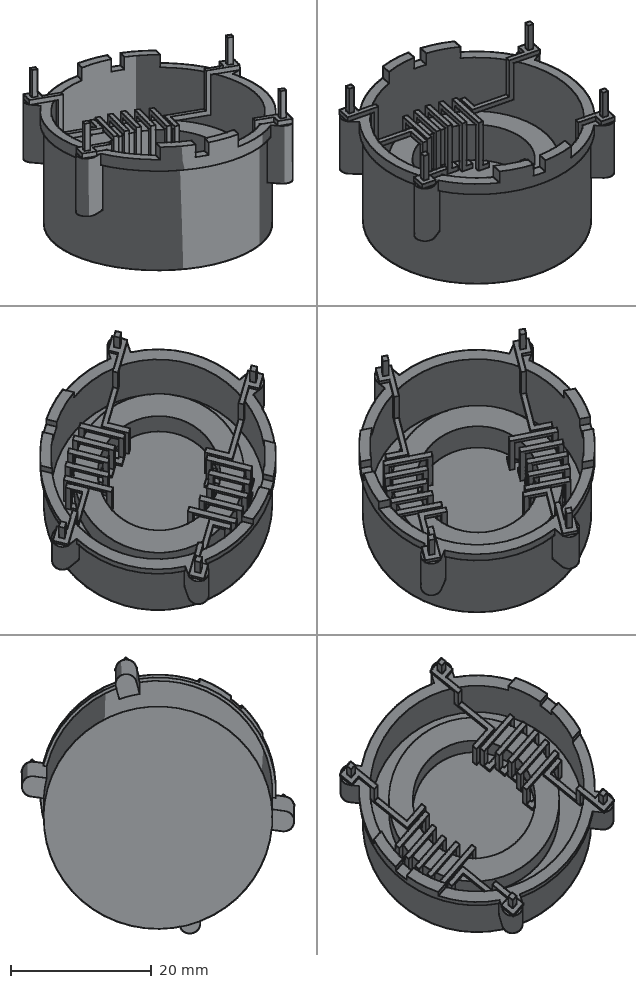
import cadquery as cq
import math

wall_radius = 16.25
rim_radius = 16.75
cavity_radius = 15.2
housing_height = 17.5
rim_height = 1.8
floor_thickness = 3.75

castellation_top = 19.45
castellation_inner_y = 1.0
castellation_outer_y = 6.0

post_x = 10.0
post_y = 15.0
post_radius = 1.5
post_bottom = 8.5

wire = 0.75
coil_top = 12.0
turn_pitch = 2.07
turn_outer_x = [12.65, 13.0, 13.2, 13.0, 12.65]
turn_inner_x = [6.05, 6.95, 7.25, 6.7, 5.6]
first_lead_inner_x = 5.6
last_lead_outer_x = 12.1
drop_inner_y = 10.95

core_outer_radius = 12.1
core_inner_radius = 8.7
core_center_y = 0.55
core_bottom = floor_thickness + wire
core_height = 6.1

pad_side = 2.25
pin_side = 0.85
pin_top = 22.5


def cylinder(radius, bottom, top):
    return cq.Workplane("XY").workplane(offset=bottom).circle(radius).extrude(top - bottom)


def square_bar(x, y, side, bottom, top):
    bar = cq.Workplane("XY").workplane(offset=bottom).rect(side, side).extrude(top - bottom)
    return bar.translate((x, y, 0))


def make_post(side_x, side_y):
    """Round post joined to the cup by a web of the same width that runs toward the cup axis."""
    center_distance = math.hypot(post_x, post_y)
    angle = math.degrees(math.atan2(side_y * post_y, side_x * post_x))
    height = housing_height - post_bottom
    web = cq.Workplane("XY").box(center_distance, 2 * post_radius, height, centered=(False, True, False))
    round_end = cq.Workplane("XY").center(center_distance, 0).circle(post_radius).extrude(height)
    return web.union(round_end).rotate((0, 0, 0), (0, 0, 1), angle).translate((0, 0, post_bottom))


def make_castellations():
    """Four rim-wide teeth, two on each X side, with flanks parallel to X."""
    ring = cylinder(rim_radius, housing_height, castellation_top)
    tooth_width = castellation_outer_y - castellation_inner_y
    tooth_y = (castellation_outer_y + castellation_inner_y) / 2
    height = castellation_top - housing_height
    bands = (
        cq.Workplane("XY")
        .workplane(offset=housing_height)
        .pushPoints([(0, tooth_y), (0, -tooth_y)])
        .rect(2 * rim_radius, tooth_width)
        .extrude(height)
    )
    return ring.intersect(bands)


def make_housing():
    body = cylinder(wall_radius, 0, housing_height)
    body = body.union(cylinder(rim_radius, housing_height - rim_height, housing_height))
    for side_x in (-1, 1):
        for side_y in (-1, 1):
            body = body.union(make_post(side_x, side_y))
    body = body.union(make_castellations())
    return body.cut(cylinder(cavity_radius, floor_thickness, castellation_top))


def make_core():
    core_top = core_bottom + core_height
    ring = cylinder(core_outer_radius, core_bottom, core_top)
    ring = ring.cut(cylinder(core_inner_radius, core_bottom, core_top))
    return ring.translate((0, core_center_y, 0))


def wire_path():
    """Centerline corners of the +X winding, from the +Y terminal to the -Y terminal."""
    half_wire = wire / 2
    low = floor_thickness + half_wire
    high = coil_top - half_wire
    strip = housing_height + half_wire
    lead_x = post_x - pad_side / 2 + half_wire
    drop_y = drop_inner_y + half_wire
    turn_count = len(turn_outer_x)
    lead_y = turn_count * turn_pitch / 2
    first_x = first_lead_inner_x + half_wire
    last_x = last_lead_outer_x - half_wire

    points = [
        (lead_x, post_y, strip),
        (lead_x, drop_y, strip),
        (lead_x, drop_y, high),
        (lead_x, lead_y, high),
        (first_x, lead_y, high),
        (first_x, lead_y, low),
    ]
    for turn in range(turn_count):
        outer_x = turn_outer_x[turn] - half_wire
        inner_x = turn_inner_x[turn] + half_wire
        turn_y = lead_y - (turn + 0.5) * turn_pitch
        arrive_y = turn_y + turn_pitch / 2
        leave_y = turn_y - turn_pitch / 2
        points += [
            (outer_x, arrive_y, low),
            (outer_x, turn_y, low),
            (outer_x, turn_y, high),
            (inner_x, turn_y, high),
            (inner_x, turn_y, low),
            (inner_x, leave_y, low),
        ]
    points += [
        (last_x, -lead_y, low),
        (last_x, -lead_y, high),
        (lead_x, -lead_y, high),
        (lead_x, -drop_y, high),
        (lead_x, -drop_y, strip),
        (lead_x, -post_y, strip),
    ]
    return points


def wire_segment(start, end):
    """Straight square wire between two corners, reaching half a wire past each to fill the corner."""
    sizes = [abs(b - a) + wire for a, b in zip(start, end)]
    middle = tuple((a + b) / 2 for a, b in zip(start, end))
    return cq.Workplane("XY").box(*sizes).translate(middle)


def make_terminal(y):
    pad_top = housing_height + wire
    pad = square_bar(post_x, y, pad_side, housing_height, pad_top)
    return pad.union(square_bar(post_x, y, pin_side, pad_top, pin_top))


def make_winding():
    """One continuous wire on the +X side, with a pad and a pin at each end."""
    points = wire_path()
    winding = make_terminal(post_y).union(make_terminal(-post_y))
    for start, end in zip(points, points[1:]):
        winding = winding.union(wire_segment(start, end))
    return winding.clean()


housing = make_housing()
core = make_core()
right_winding = make_winding()
left_winding = right_winding.mirror("YZ")

result = cq.Compound.makeCompound(
    [housing.val(), core.val(), right_winding.val(), left_winding.val()]
)